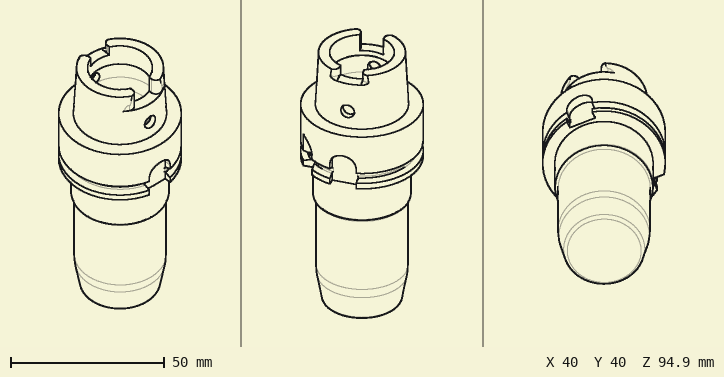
import cadquery as cq
import math


TAPER_LENGTH = 20.0
TAPER_ROOT_RADIUS = 15.18
TAPER_RATE = 0.05
TAPER_TOP_RADIUS = TAPER_ROOT_RADIUS - TAPER_RATE * TAPER_LENGTH

FLANGE_RADIUS = 39.95 / 2
FLANGE_HEIGHT = 20.0
GROOVE_Z = -16.0
GROOVE_FLOOR_RADIUS = 17.5
GROOVE_FLOOR_HALF_WIDTH = 0.6
GROOVE_FILLET = 0.6
GROOVE_FLANK_ANGLE = math.radians(20)

COLLAR_RADIUS = 16.0
COLLAR_CHAMFER_WIDTH = 0.15
COLLAR_CHAMFER_TOP_Z = -34.3
COLLAR_BOTTOM_Z = -34.85
BARREL_RADIUS = 15.0
NOSE_BLEND_Z = -62.0
NOSE_BLEND_TANGENT = 1.7
NOSE_ANGLE = math.radians(10)
NOSE_FILLET = 1.2
BOTTOM_Z = -74.9

BORE_RADIUS = 21.04 / 2
BORE_LIP_DEPTH = 8.0
LIP_UNDERSIDE_ANGLE = math.radians(30)
CAVITY_RADIUS = 25.57 / 2
CAVITY_DEPTH = 15.75
BORE_FLOOR_RADIUS = 9.93

CROSS_HOLE_DIAMETER = 4.6
CROSS_HOLE_Z = 6.2

RIM_SLOT_WIDTH = 8.1
SHALLOW_SLOT_DEPTH = 3.5
DEEP_SLOT_DEPTH = 6.1
SLOT_MOUTH_RADIUS = 2.0
SLOT_MOUTH_CENTER_X = 10.78
SHALLOW_SLOT_COVE = 0.9
SLOT_MOUTH_EXIT_ANGLE = math.radians(30)

FLAT_DISTANCE = 17.0
FLAT_WIDTH = 9.0
FLAT_TOP_Z = -7.9
NOTCH_DISTANCE = 11.75
NOTCH_CENTER_Y = 16.25

CLEARANCE = 5.0


def make_body():
    """Revolve the outer outline of the holder."""
    fillet_depth = GROOVE_FILLET * (1 - math.sin(GROOVE_FLANK_ANGLE))
    flank_root_radius = GROOVE_FLOOR_RADIUS + fillet_depth
    flank_root = GROOVE_FLOOR_HALF_WIDTH + GROOVE_FILLET * math.cos(GROOVE_FLANK_ANGLE)
    flank_rise = (FLANGE_RADIUS - flank_root_radius) * math.tan(GROOVE_FLANK_ANGLE)
    groove_mouth = flank_root + flank_rise

    shoulder_radius = COLLAR_RADIUS - COLLAR_CHAMFER_WIDTH
    neck_fillet = shoulder_radius - BARREL_RADIUS
    neck_bottom_z = COLLAR_BOTTOM_Z - neck_fillet
    neck_center = (shoulder_radius, neck_bottom_z)
    neck_middle = (
        neck_center[0] - neck_fillet * math.cos(math.pi / 4),
        neck_center[1] + neck_fillet * math.sin(math.pi / 4),
    )

    nose_corner_z = NOSE_BLEND_Z - NOSE_BLEND_TANGENT
    cone_top_radius = BARREL_RADIUS - NOSE_BLEND_TANGENT * math.sin(NOSE_ANGLE)
    cone_top_z = nose_corner_z - NOSE_BLEND_TANGENT * math.cos(NOSE_ANGLE)
    cone_bottom_z = BOTTOM_Z + NOSE_FILLET * (1 - math.sin(NOSE_ANGLE))
    cone_bottom_radius = BARREL_RADIUS - (nose_corner_z - cone_bottom_z) * math.tan(NOSE_ANGLE)
    bottom_face_radius = cone_bottom_radius - NOSE_FILLET * math.cos(NOSE_ANGLE)

    outline = (
        cq.Workplane("XZ")
        .moveTo(0, TAPER_LENGTH)
        .lineTo(TAPER_TOP_RADIUS, TAPER_LENGTH)
        .lineTo(TAPER_ROOT_RADIUS, 0)
        .lineTo(FLANGE_RADIUS, 0)
        .lineTo(FLANGE_RADIUS, GROOVE_Z + groove_mouth)
        .lineTo(flank_root_radius, GROOVE_Z + flank_root)
        .tangentArcPoint((GROOVE_FLOOR_RADIUS, GROOVE_Z + GROOVE_FLOOR_HALF_WIDTH), relative=False)
        .lineTo(GROOVE_FLOOR_RADIUS, GROOVE_Z - GROOVE_FLOOR_HALF_WIDTH)
        .tangentArcPoint((flank_root_radius, GROOVE_Z - flank_root), relative=False)
        .lineTo(FLANGE_RADIUS, GROOVE_Z - groove_mouth)
        .lineTo(FLANGE_RADIUS, -FLANGE_HEIGHT)
        .lineTo(COLLAR_RADIUS, -FLANGE_HEIGHT)
        .lineTo(COLLAR_RADIUS, COLLAR_CHAMFER_TOP_Z)
        .lineTo(shoulder_radius, COLLAR_BOTTOM_Z)
        .threePointArc(neck_middle, (BARREL_RADIUS, neck_bottom_z))
        .lineTo(BARREL_RADIUS, NOSE_BLEND_Z)
        .tangentArcPoint((cone_top_radius, cone_top_z), relative=False)
        .lineTo(cone_bottom_radius, cone_bottom_z)
        .tangentArcPoint((bottom_face_radius, BOTTOM_Z), relative=False)
        .lineTo(0, BOTTOM_Z)
        .close()
    )
    return outline.revolve(360, (0, 0, 0), (0, 1, 0))


def make_bore():
    """Bore with a lip, a wider cavity under it and a quarter-round fillet down to the floor."""
    lip_z = TAPER_LENGTH - BORE_LIP_DEPTH
    cavity_top_z = lip_z - (CAVITY_RADIUS - BORE_RADIUS) * math.tan(LIP_UNDERSIDE_ANGLE)
    cavity_bottom_z = TAPER_LENGTH - CAVITY_DEPTH
    floor_z = cavity_bottom_z - (CAVITY_RADIUS - BORE_FLOOR_RADIUS)
    return (
        cq.Workplane("XZ")
        .moveTo(0, TAPER_LENGTH)
        .lineTo(BORE_RADIUS, TAPER_LENGTH)
        .lineTo(BORE_RADIUS, lip_z)
        .lineTo(CAVITY_RADIUS, cavity_top_z)
        .lineTo(CAVITY_RADIUS, cavity_bottom_z)
        .tangentArcPoint((BORE_FLOOR_RADIUS, floor_z), relative=False)
        .lineTo(0, floor_z)
        .close()
        .revolve(360, (0, 0, 0), (0, 1, 0))
    )


def make_cross_hole():
    return (
        cq.Workplane("YZ")
        .center(0, CROSS_HOLE_Z)
        .circle(CROSS_HOLE_DIAMETER / 2)
        .extrude(2 * FLANGE_RADIUS, both=True)
    )


def make_slot_mouth(depth):
    """Cutter for the rounded mouth on the +Y wall of a slot that opens toward +X.

    The wall turns outward on an arc and leaves the taper on a line tangent to it.
    """
    half_width = RIM_SLOT_WIDTH / 2
    center_y = half_width + SLOT_MOUTH_RADIUS
    turn_middle = (SLOT_MOUTH_EXIT_ANGLE - math.pi / 2) / 2
    exit_x = SLOT_MOUTH_CENTER_X + SLOT_MOUTH_RADIUS * math.cos(SLOT_MOUTH_EXIT_ANGLE)
    exit_y = center_y + SLOT_MOUTH_RADIUS * math.sin(SLOT_MOUTH_EXIT_ANGLE)
    end_x = exit_x - CLEARANCE * math.sin(SLOT_MOUTH_EXIT_ANGLE)
    end_y = exit_y + CLEARANCE * math.cos(SLOT_MOUTH_EXIT_ANGLE)
    outside_x = FLANGE_RADIUS + CLEARANCE
    return (
        cq.Workplane("XY", origin=(0, 0, TAPER_LENGTH - depth))
        .moveTo(SLOT_MOUTH_CENTER_X, half_width)
        .threePointArc(
            (
                SLOT_MOUTH_CENTER_X + SLOT_MOUTH_RADIUS * math.cos(turn_middle),
                center_y + SLOT_MOUTH_RADIUS * math.sin(turn_middle),
            ),
            (exit_x, exit_y),
        )
        .lineTo(end_x, end_y)
        .lineTo(outside_x, end_y)
        .lineTo(outside_x, half_width)
        .close()
        .extrude(depth + CLEARANCE)
    )


def make_mouth_cove():
    """Ring around the mouth arc that keeps a concave fillet at the shallow slot floor."""
    floor_z = TAPER_LENGTH - SHALLOW_SLOT_DEPTH
    cove_top_z = floor_z + SHALLOW_SLOT_COVE
    cove_end_radius = SLOT_MOUTH_RADIUS + SHALLOW_SLOT_COVE
    cove_step = SHALLOW_SLOT_COVE * (1 - math.cos(math.pi / 4))
    center_y = RIM_SLOT_WIDTH / 2 + SLOT_MOUTH_RADIUS
    return (
        cq.Workplane("XZ")
        .moveTo(0, floor_z)
        .lineTo(0, cove_top_z)
        .lineTo(SLOT_MOUTH_RADIUS, cove_top_z)
        .threePointArc((SLOT_MOUTH_RADIUS + cove_step, floor_z + cove_step), (cove_end_radius, floor_z))
        .close()
        .revolve(360, (0, 0, 0), (0, 1, 0))
        .translate((SLOT_MOUTH_CENTER_X, center_y, 0))
    )


def make_rim_slot(depth, mouth):
    """Slot through one side of the rim toward +X with the same mouth on both walls."""
    slot = cq.Workplane("XY", origin=(0, 0, TAPER_LENGTH - depth)).rect(
        2 * FLANGE_RADIUS, RIM_SLOT_WIDTH
    )
    slot = slot.extrude(depth + CLEARANCE).translate((FLANGE_RADIUS, 0, 0))
    return slot.union(mouth).union(mouth.mirror("XZ"))


def make_flat_cutter(distance, center_y):
    """Round-topped cutter that leaves a flat facing +X, open at the flange bottom."""
    half_width = FLAT_WIDTH / 2
    arc_z = FLAT_TOP_Z - half_width
    return (
        cq.Workplane("YZ", origin=(distance, center_y, 0))
        .moveTo(-half_width, -FLANGE_HEIGHT)
        .lineTo(-half_width, arc_z)
        .threePointArc((0, FLAT_TOP_Z), (half_width, arc_z))
        .lineTo(half_width, -FLANGE_HEIGHT)
        .close()
        .extrude(FLANGE_RADIUS)
    )


body = make_body().cut(make_bore()).cut(make_cross_hole())

deep_mouth = make_slot_mouth(DEEP_SLOT_DEPTH)
shallow_mouth = make_slot_mouth(SHALLOW_SLOT_DEPTH).cut(make_mouth_cove())
body = body.cut(make_rim_slot(DEEP_SLOT_DEPTH, deep_mouth))
body = body.cut(make_rim_slot(SHALLOW_SLOT_DEPTH, shallow_mouth).mirror("YZ"))

flat = make_flat_cutter(FLAT_DISTANCE, 0)
notch = make_flat_cutter(NOTCH_DISTANCE, NOTCH_CENTER_Y)
body = body.cut(flat).cut(flat.mirror("YZ")).cut(notch.mirror("YZ"))

result = body